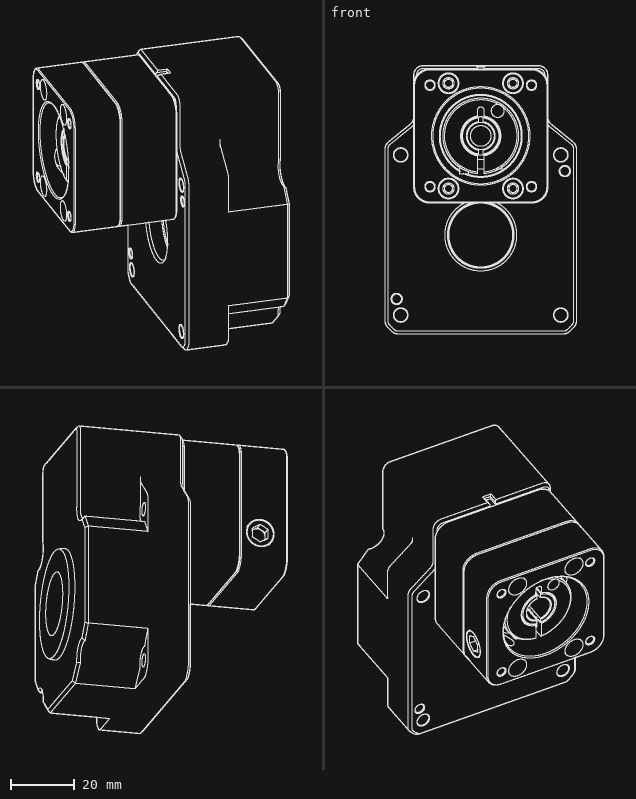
import cadquery as cq
import math


plate_width = 60.0
plate_bottom = -31.0
plate_thickness = 14.0
housing_top = 53.0
housing_depth = 34.3
housing_chamfer = 0.9
corner_radius = 3.0
corner_chamfer = 3.0
shoulder_low_z = 28.2
shoulder_high_z = 35.5

mount_spacing = 50.1
mount_hole_diameter = 4.2
mount_hole_mouth = 4.5
cove_diameter = 9.0
cove_edge_radius = 0.4
facet_reach = 9.0
facet_angle = 50

dowel_diameter = 3.0
dowel_mouth = 3.5
dowel_depth = 5.0
dowel_x = 26.3
dowel_z = 20.0

bore_diameter = 20.0
bore_front_diameter = 20.8
bore_front_depth = 5.0
bore_mouth = 22.5
bore_step_mouth = 20.7
pilot_ring_diameter = 35.0
pilot_ring_height = 1.85
pilot_ring_taper_length = 1.0
pilot_ring_end_diameter = 34.4

notch_width = 2.0
notch_length = 3.6
notch_depth = 1.35
notch_chamfer = 0.5

motor_z = 31.0
block_side = 42.0
block_radius = 5.0
block_chamfer = 0.3
gearbox_length = 18.5
adapter_length = 15.4
gearbox_front = -gearbox_length
adapter_front = gearbox_front - adapter_length

motor_pilot_diameter = 30.0
motor_pilot_depth = 13.4
motor_pilot_mouth = 30.8
clamp_bore_diameter = 25.4
clamp_bore_mouth = 25.95
clamp_bore_depth = 3.4
motor_tap_diameter = 2.8
motor_tap_mouth = 3.3
motor_tap_depth = 10.1
motor_tap_offset = 15.9

bolt_x = 10.1
bolt_z = 16.5
bolt_recess_diameter = 6.5
bolt_head_diameter = 6.0
bolt_head_depth = 8.4
bolt_head_length = 3.5
bolt_shank_diameter = 3.0
bolt_thread_length = 6.7
bolt_socket_width = 2.5
bolt_socket_mouth = 3.5
bolt_socket_depth = 1.7

clamp_front = adapter_front + 4.5
clamp_back = gearbox_front + clamp_bore_depth
clamp_diameter = 23.7
clamp_chamfer = 0.5
clamp_hole_mouth = 12.6
clamp_slot_width = 2.0
clamp_slot_top = 9.1
balance_hole_diameter = 4.0
balance_hole_depth = 5.0
balance_hole_x = 5.3
balance_hole_z = 7.8

sleeve_diameter = 12.0
sleeve_chamfer = 0.29
sleeve_bore_diameter = 8.5
sleeve_bore_mouth = 9.0
sleeve_bore_depth = 10.5
sleeve_pilot_diameter = 6.5
sleeve_slit_width = 1.35
sleeve_slit_depth = 8.4

screw_y = adapter_front + 8.9
screw_z = motor_z - 8.9
screw_head_diameter = 6.0
screw_head_x = -6.6
screw_seat_x = -3.8
screw_pocket_diameter = 6.5
screw_shank_diameter = 3.0
screw_tip_x = 6.7
plug_diameter = 8.5
access_hole_diameter = 9.0
plug_x = -20.9
plug_length = 5.9
plug_socket_width = 5.0
plug_socket_depth = 3.4

drill_point_angle = 118


def rod(diameter, y_start, y_end, x=0.0, z=0.0):
    """Cylinder along Y."""
    start = cq.Vector(x, y_start, z)
    return cq.Workplane(cq.Solid.makeCylinder(diameter / 2, y_end - y_start, start, cq.Vector(0, 1, 0)))


def cross_rod(diameter, x_start, x_end):
    """Cylinder along X on the clamp screw axis."""
    start = cq.Vector(x_start, screw_y, screw_z)
    return cq.Workplane(cq.Solid.makeCylinder(diameter / 2, x_end - x_start, start, cq.Vector(1, 0, 0)))


def cone(diameter_start, diameter_end, y_start, y_end, x=0.0, z=0.0):
    """Cone along Y."""
    start = cq.Vector(x, y_start, z)
    direction = cq.Vector(0, 1, 0)
    return cq.Workplane(
        cq.Solid.makeCone(diameter_start / 2, diameter_end / 2, y_end - y_start, start, direction)
    )


def point_length(diameter):
    """Length of the conical end that a drill of this diameter leaves."""
    return diameter / 2 / math.tan(math.radians(drill_point_angle / 2))


def drilled_hole(diameter, y_start, depth, x, z):
    """Blind hole along +Y with a conical bottom."""
    y_end = y_start + depth
    tip = cone(diameter, 0, y_end, y_end + point_length(diameter), x, z)
    return rod(diameter, y_start, y_end, x, z).union(tip)


def countersink(mouth_diameter, diameter, y_start, x=0.0, z=0.0):
    """45 degree chamfer at the -Y end of a hole."""
    return cone(mouth_diameter, diameter, y_start, y_start + (mouth_diameter - diameter) / 2, x, z)


def box(x_range, y_range, z_range):
    size = [end - start for start, end in (x_range, y_range, z_range)]
    return cq.Workplane(cq.Solid.makeBox(*size, cq.Vector(x_range[0], y_range[0], z_range[0])))


def four_corners(x, z, center_z=0.0):
    return [(side * x, center_z + level * z) for side in (-1, 1) for level in (-1, 1)]


def housing_blank():
    """Plate with sloped shoulders and a narrower upper part, both as deep as the housing."""
    half_width = plate_width / 2
    half_block = block_side / 2
    right_side = [
        (half_width - corner_chamfer, plate_bottom),
        (half_width, plate_bottom + corner_chamfer),
        (half_width, shoulder_low_z),
        (half_block, shoulder_high_z),
        (half_block, housing_top),
    ]
    left_side = [(-x, z) for x, z in reversed(right_side)]
    blank = cq.Workplane("XZ").polyline(right_side + left_side).close().extrude(-housing_depth)
    return blank.edges("|Y").fillet(corner_radius)


def corner_relief(side, level):
    """Cutter behind the plate: a cove round one mounting hole, opened outwards by sloped facets."""
    hole = mount_spacing / 2
    half_width = plate_width / 2
    half_block = block_side / 2
    slope = math.tan(math.radians(facet_angle))
    facet_start = (half_width, hole - facet_reach)
    facet_end = (half_width - (hole - facet_start[1]) / slope, hole)
    if level > 0:
        outline = [facet_start, facet_end, (half_block, hole), (half_block, shoulder_high_z + corner_radius)]
        outline.append((half_width, outline[-1][1]))
    else:
        mirrored_end = tuple(reversed(facet_end))
        run_out = -plate_bottom - half_width
        bottom_start = (hole - facet_reach - run_out * slope, -plate_bottom)
        outline = [facet_start, facet_end, mirrored_end, bottom_start, (half_width, -plate_bottom)]
    outline = [(side * x, level * z) for x, z in outline]
    cutter = cq.Workplane("XZ", origin=(0, plate_thickness, 0)).polyline(outline).close()
    cutter = cutter.extrude(plate_thickness - housing_depth)
    return cutter.union(rod(cove_diameter, plate_thickness, housing_depth, side * hole, level * hole))


def edges_of_cove(body, side, level):
    """Straight edges along Y at both sides of one cove."""
    hole = mount_spacing / 2
    reach = cove_diameter / 2 + cove_edge_radius
    around_cove = cq.selectors.BoxSelector(
        (side * hole - reach, plate_thickness, level * hole - reach),
        (side * hole + reach, housing_depth, level * hole + reach),
    )
    return body.edges("|Y").edges(around_cove)


def make_housing():
    body = housing_blank()
    for side in (-1, 1):
        for level in (-1, 1):
            body = body.cut(corner_relief(side, level))
    body = body.faces("<Y or >Y").chamfer(housing_chamfer)
    for side in (-1, 1):
        for level in (-1, 1):
            body = edges_of_cove(body, side, level).fillet(cove_edge_radius)

    taper_start = housing_depth + pilot_ring_height - pilot_ring_taper_length
    ring_end = housing_depth + pilot_ring_height
    body = body.union(rod(pilot_ring_diameter, housing_depth, taper_start))
    body = body.union(cone(pilot_ring_diameter, pilot_ring_end_diameter, taper_start, ring_end))

    body = body.cut(rod(bore_diameter, 0, ring_end))
    body = body.cut(rod(bore_front_diameter, 0, bore_front_depth))
    body = body.cut(countersink(bore_mouth, bore_front_diameter, 0))
    body = body.cut(countersink(bore_step_mouth, bore_diameter, bore_front_depth))

    for x, z in four_corners(mount_spacing / 2, mount_spacing / 2):
        body = body.cut(rod(mount_hole_diameter, 0, plate_thickness, x, z))
        body = body.cut(countersink(mount_hole_mouth, mount_hole_diameter, 0, x, z))
    for side in (-1, 1):
        x, z = side * dowel_x, side * dowel_z
        body = body.cut(drilled_hole(dowel_diameter, 0, dowel_depth, x, z))
        body = body.cut(countersink(dowel_mouth, dowel_diameter, 0, x, z))

    half_notch = notch_width / 2
    notch = box((-half_notch, half_notch), (0, notch_length), (housing_top - notch_depth, housing_top))
    mouth_half = half_notch + notch_chamfer
    mouth_length = notch_length + notch_chamfer
    mouth = box((-mouth_half, mouth_half), (0, mouth_length), (housing_top - notch_chamfer, housing_top))
    mouth = mouth.faces("<Z").edges("not <Y").chamfer(notch_chamfer * 0.99)
    return body.cut(notch).cut(mouth)


def block(y_start, y_end):
    """Square block round the motor axis with rounded corners and chamfered ends."""
    body = cq.Workplane("XZ", origin=(0, y_start, motor_z)).rect(block_side, block_side)
    body = body.extrude(y_start - y_end).edges("|Y").fillet(block_radius)
    return body.faces("<Y or >Y").chamfer(block_chamfer)


bolt_head_front = adapter_front + bolt_head_depth
bolt_head_back = bolt_head_front + bolt_head_length
bolt_end = gearbox_front + bolt_thread_length
bolt_places = four_corners(bolt_x, bolt_z, motor_z)


def input_sleeve():
    """Slit sleeve on the motor axis that takes the motor shaft."""
    body = rod(sleeve_diameter, clamp_front, clamp_back, 0, motor_z)
    body = body.faces("<Y").chamfer(sleeve_chamfer)
    bore_end = clamp_front + sleeve_bore_depth
    body = body.cut(rod(sleeve_bore_diameter, clamp_front, bore_end, 0, motor_z))
    body = body.cut(countersink(sleeve_bore_mouth, sleeve_bore_diameter, clamp_front, 0, motor_z))
    tip_end = bore_end + point_length(sleeve_pilot_diameter)
    body = body.cut(cone(sleeve_pilot_diameter, 0, bore_end, tip_end, 0, motor_z))
    half_slit = sleeve_slit_width / 2
    half_sleeve = sleeve_diameter / 2
    sleeve_span = (motor_z - half_sleeve, motor_z + half_sleeve)
    slit_end = clamp_front + sleeve_slit_depth
    slit = box((-half_slit, half_slit), (clamp_front, slit_end), sleeve_span)
    return body.cut(slit.edges("|Z and >Y").fillet(half_slit * 0.99))


def make_gearbox():
    """Gearbox block with the input sleeve standing on the floor of its recess."""
    body = block(gearbox_front, 0)
    body = body.cut(rod(clamp_bore_diameter, gearbox_front, clamp_back, 0, motor_z))
    for x, z in bolt_places:
        body = body.cut(rod(bolt_shank_diameter, gearbox_front, bolt_end, x, z))
    return body.union(input_sleeve())


def make_adapter():
    body = block(adapter_front, gearbox_front)
    pilot_floor = adapter_front + motor_pilot_depth
    body = body.cut(rod(motor_pilot_diameter, adapter_front, pilot_floor, 0, motor_z))
    body = body.cut(countersink(motor_pilot_mouth, motor_pilot_diameter, adapter_front, 0, motor_z))
    body = body.cut(rod(clamp_bore_diameter, pilot_floor, gearbox_front, 0, motor_z))
    body = body.cut(countersink(clamp_bore_mouth, clamp_bore_diameter, pilot_floor, 0, motor_z))
    for x, z in bolt_places:
        body = body.cut(rod(bolt_recess_diameter, adapter_front, bolt_head_back, x, z))
        body = body.cut(rod(bolt_shank_diameter, bolt_head_back, gearbox_front, x, z))
    for x, z in four_corners(motor_tap_offset, motor_tap_offset, motor_z):
        body = body.cut(rod(motor_tap_diameter, adapter_front, adapter_front + motor_tap_depth, x, z))
        body = body.cut(countersink(motor_tap_mouth, motor_tap_diameter, adapter_front, x, z))
    return body.cut(cross_rod(access_hole_diameter, -block_side / 2, screw_head_x))


def make_bolt(x, z):
    """Socket head bolt along Y; the hexagon socket ends in a cone."""
    body = rod(bolt_head_diameter, bolt_head_front, bolt_head_back, x, z)
    body = body.union(rod(bolt_shank_diameter, bolt_head_back, bolt_end, x, z))
    socket = cq.Workplane("XZ", origin=(x, bolt_head_front, z))
    socket = socket.polygon(6, bolt_socket_width, circumscribed=True).extrude(-bolt_socket_depth)
    socket_end = bolt_head_front + bolt_socket_depth
    tip = cone(bolt_socket_width, 0, socket_end, socket_end + point_length(bolt_socket_width), x, z)
    mouth = countersink(bolt_socket_mouth, 0, bolt_head_front, x, z)
    return body.cut(socket).cut(tip).cut(mouth)


def make_clamp_ring():
    body = rod(clamp_diameter, clamp_front, clamp_back, 0, motor_z)
    body = body.faces("<Y").chamfer(clamp_chamfer)
    body = body.cut(rod(sleeve_diameter, clamp_front, clamp_back, 0, motor_z))
    body = body.cut(countersink(clamp_hole_mouth, sleeve_diameter, clamp_front, 0, motor_z))
    half_slot = clamp_slot_width / 2
    slot_top = motor_z + clamp_slot_top - half_slot
    slot = box((-half_slot, half_slot), (clamp_front, clamp_back), (motor_z - clamp_diameter / 2, slot_top))
    slot = slot.union(rod(clamp_slot_width, clamp_front, clamp_back, 0, slot_top))
    body = body.cut(slot)
    balance_z = motor_z + balance_hole_z
    balance_hole = drilled_hole(
        balance_hole_diameter, clamp_front, balance_hole_depth, balance_hole_x, balance_z
    )
    body = body.cut(balance_hole)
    body = body.cut(cross_rod(screw_pocket_diameter, -clamp_diameter / 2, screw_seat_x))
    return body.cut(cross_rod(screw_shank_diameter, screw_seat_x, screw_tip_x))


def make_clamp_screw():
    body = cross_rod(screw_head_diameter, screw_head_x, screw_seat_x)
    return body.union(cross_rod(screw_shank_diameter, screw_seat_x, screw_tip_x))


def make_plug():
    """Plug that closes the access hole; its hexagon socket ends in a cone."""
    body = cross_rod(plug_diameter, plug_x, plug_x + plug_length)
    socket = cq.Workplane("YZ", origin=(plug_x, screw_y, screw_z))
    socket = socket.polygon(6, plug_socket_width, circumscribed=True).extrude(plug_socket_depth)
    tip_start = cq.Vector(plug_x + plug_socket_depth, screw_y, screw_z)
    tip_length = point_length(plug_socket_width)
    tip = cq.Solid.makeCone(plug_socket_width / 2, 0, tip_length, tip_start, cq.Vector(1, 0, 0))
    return body.cut(socket).cut(cq.Workplane(tip))


housing = make_housing()
gearbox = make_gearbox()
adapter = make_adapter()
bolts = [make_bolt(x, z) for x, z in bolt_places]
clamp_ring = make_clamp_ring()
clamp_screw = make_clamp_screw()
plug = make_plug()

result = cq.Compound.makeCompound(
    [
        housing.val(),
        gearbox.val(),
        adapter.val(),
        *[bolt.val() for bolt in bolts],
        clamp_ring.val(),
        clamp_screw.val(),
        plug.val(),
    ]
)